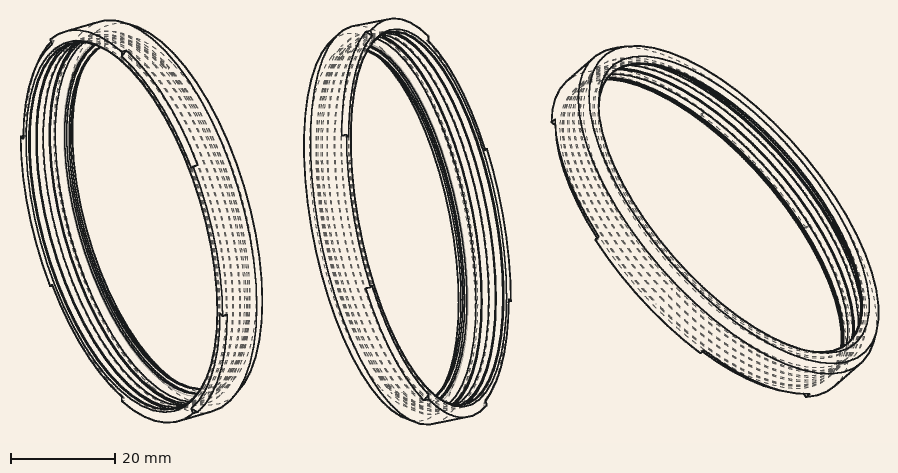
import cadquery as cq

outer_radius = 39.0
width = 9.4
bore_radius = 34.5

rear_bevel_radial = 1.1
rear_bevel_axial = 1.9
front_bevel = 1.0
front_bevel_count = 4
front_bevel_sweep = 45.0

mouth_radius = 36.9
land_radius = 36.5
mouth_depth = 0.4
groove_radius = 36.9
groove_width = 1.55
groove_starts = (0.6, 3.6)
cove_start = 6.25
cove_radius = 1.4
seat_radius = 35.8
ledge_radius = 35.3
ledge_depth = 8.1
rear_flare = 0.9


def revolve_about_y(profile, angle=360.0):
    """Turn a closed (radius, Y) profile around the Y axis."""
    return profile.close().revolve(angle, (0, 0, 0), (0, 1, 0))


def ring_body():
    """Stepped ring with a conical mouth, a rounded cove and bevels at the rear."""
    cove_end = cove_start + cove_radius
    cove_floor = seat_radius + cove_radius
    profile = (
        cq.Workplane("XY")
        .moveTo(mouth_radius, 0)
        .lineTo(outer_radius, 0)
        .lineTo(outer_radius, width - rear_bevel_axial)
        .lineTo(outer_radius - rear_bevel_radial, width)
        .lineTo(bore_radius + rear_flare, width)
        .lineTo(bore_radius, width - rear_flare)
        .lineTo(bore_radius, ledge_depth)
        .lineTo(ledge_radius, ledge_depth)
        .lineTo(ledge_radius, cove_end)
        .lineTo(seat_radius, cove_end)
        .radiusArc((cove_floor, cove_start), cove_radius)
        .lineTo(land_radius, cove_start)
        .lineTo(land_radius, mouth_depth)
    )
    return revolve_about_y(profile)


def inner_groove(start):
    """Ring of material to remove for one square groove in the land."""
    profile = (
        cq.Workplane("XY")
        .moveTo(bore_radius, start)
        .lineTo(groove_radius, start)
        .lineTo(groove_radius, start + groove_width)
        .lineTo(bore_radius, start + groove_width)
    )
    return revolve_about_y(profile)


def front_bevel_cutter():
    """Triangular wedge swept along part of the front outer edge, from +X toward -Z."""
    profile = (
        cq.Workplane("XY")
        .moveTo(outer_radius - front_bevel, 0)
        .lineTo(outer_radius, 0)
        .lineTo(outer_radius, front_bevel)
    )
    return revolve_about_y(profile, front_bevel_sweep)


result = ring_body()
for groove_start in groove_starts:
    result = result.cut(inner_groove(groove_start))

bevel_cutter = front_bevel_cutter()
for index in range(front_bevel_count):
    turn = index * 360.0 / front_bevel_count
    result = result.cut(bevel_cutter.rotate((0, 0, 0), (0, 1, 0), turn))